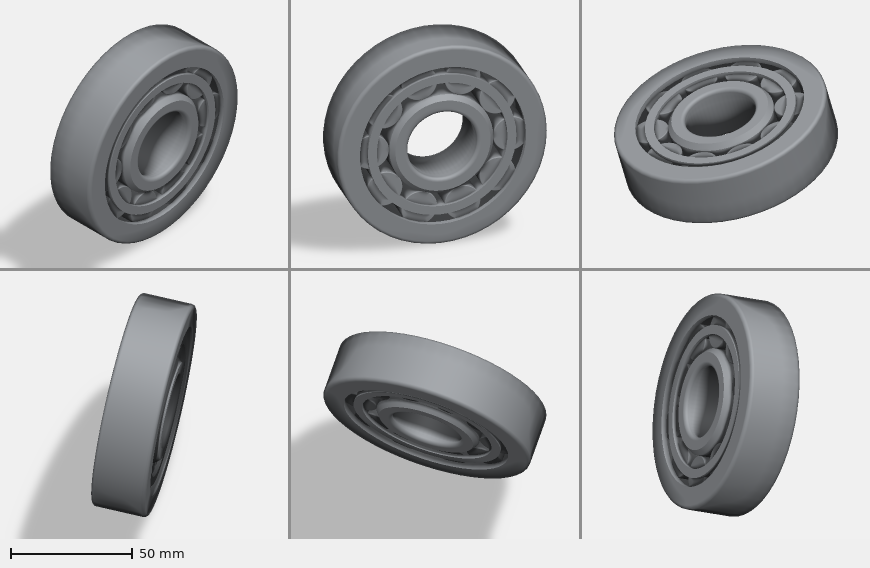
import cadquery as cq
import math


bearing_width = 23.0
outer_diameter = 90.0
bore_diameter = 30.0
corner_radius = 1.5

lip_diameter = 71.5
outer_raceway_diameter = 75.3
lip_width = 2.3

inner_raceway_diameter = 44.7
end_cone_length = 2.3
end_cone_depth = 1.9

cage_inner_diameter = 56.2
cage_outer_diameter = 63.8
cage_setback = 1.2

roller_count = 10
roller_setback = 2.7
roller_edge_radius = 0.4
seating_overlap = 0.045

raceway_width = bearing_width - 2 * lip_width
cage_width = bearing_width - 2 * cage_setback
roller_length = bearing_width - 2 * roller_setback
roller_diameter = (outer_raceway_diameter - inner_raceway_diameter) / 2 + 2 * seating_overlap
roller_orbit_radius = (outer_raceway_diameter + inner_raceway_diameter) / 4


def cylinder(diameter, length, y=0, z=0):
    """Solid cylinder along X, centred on X = 0."""
    return cq.Workplane("YZ", origin=(-length / 2, y, z)).circle(diameter / 2).extrude(length)


def make_outer_ring():
    ring = cylinder(outer_diameter, bearing_width).edges("%CIRCLE").fillet(corner_radius)
    ring = ring.cut(cylinder(lip_diameter, bearing_width))
    return ring.cut(cylinder(outer_raceway_diameter, raceway_width))


def make_inner_ring():
    ring = cylinder(inner_raceway_diameter, bearing_width)
    ring = ring.edges("%CIRCLE").chamfer(end_cone_length, end_cone_depth)
    ring = ring.cut(cylinder(bore_diameter, bearing_width))
    bore_edges = cq.selectors.RadiusNthSelector(0)
    return ring.edges("%CIRCLE").edges(bore_edges).fillet(corner_radius)


def make_cage():
    return cylinder(cage_outer_diameter, cage_width).cut(cylinder(cage_inner_diameter, cage_width))


def make_roller(index):
    angle = 2 * math.pi * index / roller_count
    y = roller_orbit_radius * math.cos(angle)
    z = roller_orbit_radius * math.sin(angle)
    return cylinder(roller_diameter, roller_length, y, z).edges("%CIRCLE").fillet(roller_edge_radius)


result = make_outer_ring().union(make_inner_ring()).union(make_cage())
for roller_index in range(roller_count):
    result = result.union(make_roller(roller_index))